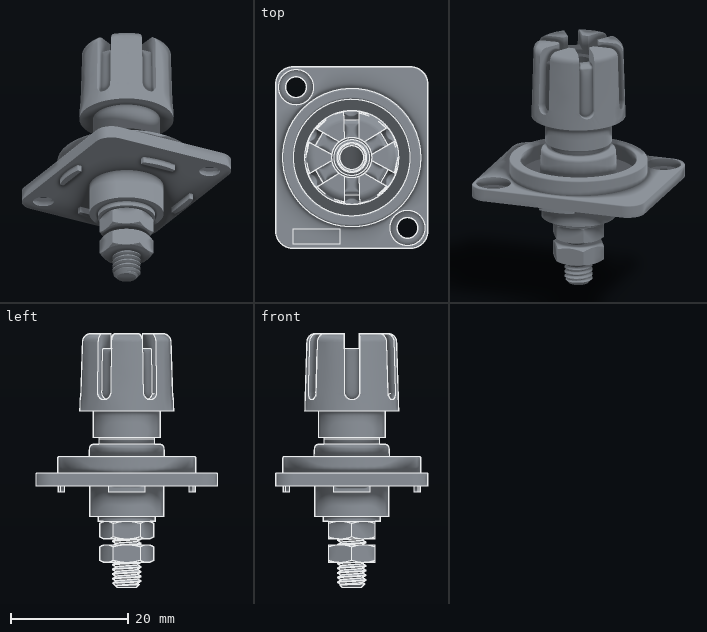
import cadquery as cq
import math


PLATE_X = 26.0
PLATE_Y = 31.0
PLATE_THICKNESS = 2.25
PLATE_CORNER_RADIUS = 3.0
PLATE_EDGE_RADIUS = 0.26
SCREW_HOLE_DIAMETER = 3.5
SCREW_HEAD_DIAMETER = 6.0
SCREW_SEAT_DEPTH = 1.4
SCREW_POSITIONS = [(-9.5, 12.0), (9.5, -12.0)]

LABEL_X = 8.0
LABEL_Y = 2.5
LABEL_CENTER = (-6.0, -13.45)
LABEL_DEPTH = 0.1

RING_OUTER_RADIUS = 11.8
RING_INNER_RADIUS = 9.95
RING_TOP = 5.07
RING_OUTER_EDGE_RADIUS = 0.35
RING_INNER_EDGE_RADIUS = 0.3
RING_FLOOR = 2.25

PAD_WIDTH = 6.2
PAD_OUTER_RADIUS = 11.72
PAD_INNER_DISTANCE = 10.6
PAD_HEIGHT = 1.04
PAD_COUNT = 4

BOSS_TOP = 7.15
BOSS_TOP_RADIUS = 6.35
BOSS_BASE_RADIUS = 6.62
BOSS_EDGE_RADIUS = 0.8
NECK_RADIUS = 9.5 / 2
NECK_STEP_RADIUS = 9.53 / 2
NECK_STEP_BOTTOM = 7.98

COLLAR_BOTTOM = 8.25
COLLAR_RADIUS = 5.72
CAP_BOTTOM = 12.78
CAP_TOP = 26.0
CAP_BOTTOM_RADIUS = 8.03
CAP_TOP_RADIUS = 7.67
CAP_EDGE_RADIUS = 1.45
CAP_BORE_RADIUS = 6.85 / 2

SLOT_COUNT = 6
SLOT_HALF_WIDTH = 1.25
SLOT_OUTER_HALF_WIDTH = 1.39
SLOT_BOTTOM = 14.73
SLOT_FLOOR = 23.48
SLOT_CORE_TOP_RADIUS = 6.12
SLOT_CORE_BOTTOM_RADIUS = 6.41
SLOT_LIP_RADIUS = 0.45

SOCKET_TOP = 23.0
SOCKET_RADIUS = 6.35 / 2
SOCKET_RIM_RADIUS = 5.1 / 2
SOCKET_MOUTH_RADIUS = 4.7 / 2
SOCKET_BORE_RADIUS = 4.05 / 2
SOCKET_GAP_DEPTH = 0.5
WIRE_HOLE_RADIUS = 4.2 / 2
WIRE_HOLE_Z = BOSS_TOP + WIRE_HOLE_RADIUS

BODY_RADIUS = 6.33
BODY_BOTTOM = -5.2
WASHER_RADIUS = 4.88
WASHER_BOTTOM = -6.02

NUT_ACROSS_FLATS = 8.0
NUT_THICKNESS = 3.0
NUT_GAP = 1.0
NUT_CHAMFER_ANGLE = 30.0

STUD_BOTTOM = -17.31
THREAD_RADIUS = 4.8 / 2
THREAD_ROOT_RADIUS = 3.8 / 2
THREAD_PITCH = 0.8
THREAD_TOP = -7.6
THREAD_FLAT = 0.06
THREAD_LEAD_IN = 0.875
THREAD_CLEARANCE = 0.05
STUD_END_CHAMFER = 0.75

OVERLAP = 0.1


def cylinder(radius, bottom, top):
    """Cylinder on the Z axis between two heights."""
    return cq.Workplane("XY").workplane(offset=bottom).circle(radius).extrude(top - bottom)


def turned(points):
    """Solid of revolution about Z from (radius, height) points."""
    return cq.Workplane("XZ").polyline(points).close().revolve(360, (0, 0, 0), (0, 1, 0))


def make_plate():
    plate = (
        cq.Workplane("XY")
        .rect(PLATE_X, PLATE_Y)
        .extrude(PLATE_THICKNESS)
        .edges("|Z")
        .fillet(PLATE_CORNER_RADIUS)
        .faces(">Z")
        .edges()
        .fillet(PLATE_EDGE_RADIUS)
    )
    plate = (
        plate.faces(">Z")
        .workplane(origin=(0, 0, PLATE_THICKNESS))
        .pushPoints(SCREW_POSITIONS)
        .cboreHole(SCREW_HOLE_DIAMETER, SCREW_HEAD_DIAMETER, SCREW_SEAT_DEPTH)
    )
    label = (
        cq.Workplane("XY")
        .workplane(offset=PLATE_THICKNESS - LABEL_DEPTH)
        .center(*LABEL_CENTER)
        .rect(LABEL_X, LABEL_Y)
        .extrude(LABEL_DEPTH)
    )
    return plate.cut(label)


def make_ring():
    ring = cylinder(RING_OUTER_RADIUS, 0, RING_TOP).cut(cylinder(RING_INNER_RADIUS, 0, RING_TOP))
    top_edges = ring.faces(">Z").edges()
    outer_edge = top_edges.edges(cq.selectors.RadiusNthSelector(-1))
    ring = outer_edge.fillet(RING_OUTER_EDGE_RADIUS)
    inner_edge = ring.faces(">Z").edges(cq.selectors.RadiusNthSelector(0))
    return inner_edge.fillet(RING_INNER_EDGE_RADIUS)


def make_pads():
    disc = cylinder(PAD_OUTER_RADIUS, -PAD_HEIGHT, 0)
    pads = cq.Workplane("XY")
    for index in range(PAD_COUNT):
        block = (
            cq.Workplane("XY")
            .box(PAD_OUTER_RADIUS, PAD_WIDTH, PAD_HEIGHT, centered=(False, True, False))
            .translate((PAD_INNER_DISTANCE, 0, -PAD_HEIGHT))
            .rotate((0, 0, 0), (0, 0, 1), index * 360 / PAD_COUNT)
        )
        pads = pads.add(disc.intersect(block))
    return pads.combine()


def make_boss():
    return turned([
        (0, 0),
        (BOSS_BASE_RADIUS, 0),
        (BOSS_BASE_RADIUS, RING_FLOOR),
        (BOSS_TOP_RADIUS, BOSS_TOP),
        (0, BOSS_TOP),
    ]).faces(">Z").edges().fillet(BOSS_EDGE_RADIUS)


def make_slot():
    """Cutter for the slot on the +X side; one of its walls leans outwards."""
    plan = (
        cq.Workplane("XY")
        .workplane(offset=SLOT_BOTTOM)
        .polyline([
            (0, -SLOT_HALF_WIDTH),
            (CAP_BOTTOM_RADIUS, -SLOT_HALF_WIDTH),
            (CAP_BOTTOM_RADIUS, SLOT_OUTER_HALF_WIDTH),
            (CAP_BORE_RADIUS, SLOT_HALF_WIDTH),
            (0, SLOT_HALF_WIDTH),
        ])
        .close()
        .extrude(CAP_TOP - SLOT_BOTTOM)
    )
    end_radius = (SLOT_HALF_WIDTH + SLOT_OUTER_HALF_WIDTH) / 2
    end_center = (SLOT_OUTER_HALF_WIDTH - SLOT_HALF_WIDTH) / 2
    spring_line = SLOT_BOTTOM + end_radius
    rounded = (
        cq.Workplane("YZ")
        .moveTo(end_center - end_radius, CAP_TOP)
        .lineTo(end_center - end_radius, spring_line)
        .threePointArc((end_center, SLOT_BOTTOM), (end_center + end_radius, spring_line))
        .lineTo(end_center + end_radius, CAP_TOP)
        .close()
        .extrude(CAP_BOTTOM_RADIUS)
    )
    core = (
        cq.Workplane("XZ")
        .polyline([
            (-SLOT_CORE_BOTTOM_RADIUS, SLOT_BOTTOM),
            (SLOT_CORE_BOTTOM_RADIUS, SLOT_BOTTOM),
            (SLOT_CORE_TOP_RADIUS, SLOT_FLOOR),
            (-SLOT_CORE_TOP_RADIUS, SLOT_FLOOR),
        ])
        .close()
        .extrude(CAP_BOTTOM_RADIUS, both=True)
        .faces(">Z")
        .edges("|Y")
        .fillet(SLOT_LIP_RADIUS)
    )
    return plan.intersect(rounded).cut(core)


def make_cap():
    cap = (
        cq.Workplane("XZ")
        .moveTo(0, CAP_BOTTOM)
        .lineTo(CAP_BOTTOM_RADIUS, CAP_BOTTOM)
        .lineTo(CAP_TOP_RADIUS, CAP_TOP - CAP_EDGE_RADIUS)
        .radiusArc((CAP_TOP_RADIUS - CAP_EDGE_RADIUS, CAP_TOP), -CAP_EDGE_RADIUS)
        .lineTo(0, CAP_TOP)
        .close()
        .revolve(360, (0, 0, 0), (0, 1, 0))
    )
    slot = make_slot()
    for index in range(SLOT_COUNT):
        angle = 90 + index * 360 / SLOT_COUNT
        cap = cap.cut(slot.rotate((0, 0, 0), (0, 0, 1), angle))
    bore = cylinder(CAP_BORE_RADIUS, SOCKET_TOP - SOCKET_GAP_DEPTH, CAP_TOP)
    return cap.cut(bore)


def make_socket():
    rim_chamfer = SOCKET_RADIUS - SOCKET_RIM_RADIUS
    return turned([
        (0, CAP_BOTTOM),
        (SOCKET_RADIUS, CAP_BOTTOM),
        (SOCKET_RADIUS, SOCKET_TOP - rim_chamfer),
        (SOCKET_RIM_RADIUS, SOCKET_TOP),
        (0, SOCKET_TOP),
    ])


def make_socket_bore():
    """Bore with a countersunk mouth, ending on the far wall of a cross hole."""
    mouth_depth = SOCKET_MOUTH_RADIUS - SOCKET_BORE_RADIUS
    bore = turned([
        (0, WIRE_HOLE_Z),
        (SOCKET_BORE_RADIUS, WIRE_HOLE_Z),
        (SOCKET_BORE_RADIUS, SOCKET_TOP - mouth_depth),
        (SOCKET_MOUTH_RADIUS, SOCKET_TOP),
        (0, SOCKET_TOP),
    ])
    wire_hole = (
        cq.Workplane("XZ")
        .center(0, WIRE_HOLE_Z)
        .circle(WIRE_HOLE_RADIUS)
        .extrude(SOCKET_RADIUS, both=True)
    )
    return bore.union(wire_hole)


def make_nut(top):
    """Hexagon nut with its corners on the Y axis, chamfered on both faces."""
    corner_radius = NUT_ACROSS_FLATS / 2 / math.cos(math.radians(30))
    flat_radius = NUT_ACROSS_FLATS / 2
    drop = (corner_radius - flat_radius) * math.tan(math.radians(NUT_CHAMFER_ANGLE))
    bottom = top - NUT_THICKNESS
    hexagon = (
        cq.Workplane("XY")
        .workplane(offset=bottom)
        .polygon(6, 2 * corner_radius)
        .extrude(NUT_THICKNESS)
        .rotate((0, 0, 0), (0, 0, 1), 90)
    )
    envelope = turned([
        (0, bottom),
        (flat_radius, bottom),
        (corner_radius, bottom + drop),
        (corner_radius, top - drop),
        (flat_radius, top),
        (0, top),
    ])
    return hexagon.intersect(envelope)


def make_stud():
    """Stud with a chamfered end and a right-handed V groove ending inside the first nut."""
    blank = cylinder(THREAD_RADIUS, STUD_BOTTOM, BODY_BOTTOM)
    envelope = turned([
        (0, STUD_BOTTOM),
        (THREAD_RADIUS - STUD_END_CHAMFER, STUD_BOTTOM),
        (THREAD_RADIUS + OVERLAP, STUD_BOTTOM + STUD_END_CHAMFER + OVERLAP),
        (THREAD_RADIUS + OVERLAP, BODY_BOTTOM),
        (0, BODY_BOTTOM),
    ])
    groove_start = STUD_BOTTOM - THREAD_LEAD_IN * THREAD_PITCH
    path = cq.Wire.makeHelix(THREAD_PITCH, THREAD_TOP - groove_start, THREAD_ROOT_RADIUS)
    mouth_radius = THREAD_RADIUS + THREAD_CLEARANCE
    half_root = THREAD_FLAT / 2
    half_mouth = (THREAD_PITCH - THREAD_FLAT) / 2
    groove = (
        cq.Workplane("XZ")
        .polyline([
            (THREAD_ROOT_RADIUS, -half_root),
            (mouth_radius, -half_mouth),
            (mouth_radius, half_mouth),
            (THREAD_ROOT_RADIUS, half_root),
        ])
        .close()
        .sweep(cq.Workplane(path), isFrenet=True)
        .translate((0, 0, groove_start))
    )
    return blank.cut(groove).intersect(envelope)


upper = (
    cylinder(NECK_RADIUS, BOSS_TOP - OVERLAP, COLLAR_BOTTOM + OVERLAP)
    .union(cylinder(NECK_STEP_RADIUS, NECK_STEP_BOTTOM, COLLAR_BOTTOM + OVERLAP))
    .union(cylinder(COLLAR_RADIUS, COLLAR_BOTTOM, CAP_BOTTOM + OVERLAP))
    .union(make_cap())
    .union(make_socket())
    .cut(make_socket_bore())
)
first_nut_top = WASHER_BOTTOM
second_nut_top = first_nut_top - NUT_THICKNESS - NUT_GAP
lower = (
    cylinder(BODY_RADIUS, BODY_BOTTOM, OVERLAP)
    .union(cylinder(WASHER_RADIUS, WASHER_BOTTOM, BODY_BOTTOM))
    .union(make_nut(first_nut_top))
    .union(make_nut(second_nut_top))
    .union(make_stud())
)
result = make_plate().union(make_ring()).union(make_pads()).union(make_boss()).union(upper).union(lower)